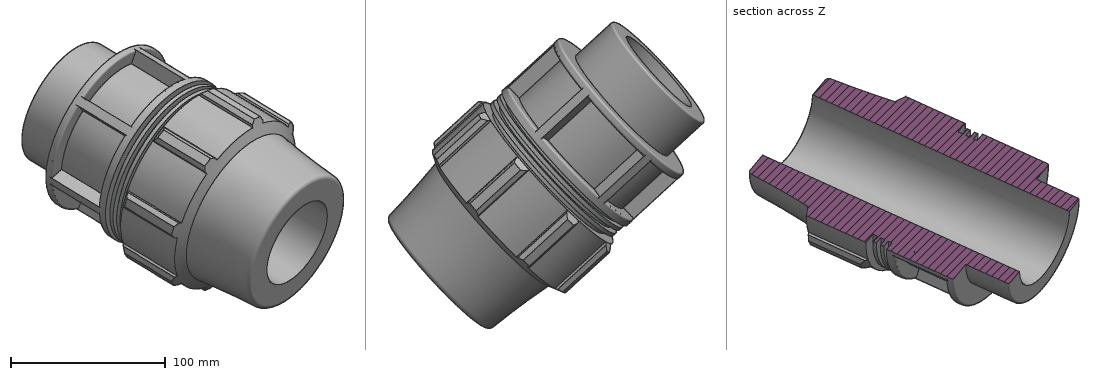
import cadquery as cq
import math

TOTAL_LENGTH = 195.0
SPIGOT_LENGTH = 32.8
COLLAR_LENGTH = 50.7
FLANGE_WIDTH = 5.6
GROOVE_START = SPIGOT_LENGTH + FLANGE_WIDTH
GROOVE_LENGTH = 39.1
RING_STARTS = (86.1, 91.8)
RING_WIDTH = 2.75
NUT_START = 97.8
NUT_LENGTH = 48.8
NUT_BEVEL_LENGTH = 3.6
NUT_END = NUT_START + NUT_LENGTH

BORE_RADIUS = 61.52 / 2
SPIGOT_RADIUS = 87.88 / 2
COLLAR_RADIUS = 118.8 / 2
GROOVE_FLOOR_RADIUS = 49.4
NECK_RADIUS = 105.6 / 2
RING_RADIUS = 116.42 / 2
NUT_RADIUS = 61.5
TAIL_ROOT_RADIUS = 54.0
TAIL_MIDDLE_RADIUS = 51.2
TAIL_TIP_RADIUS = 49.3

EDGE_ROUND = 1.5
TAIL_ROUND = 3.0

RIB_COUNT = 6
RIB_WIDTH = 6.4

LUG_COUNT = 8
LUG_TOP_RADIUS = 65.9
LUG_ROOT_WIDTH = 11.5
LUG_SHOULDER_RADIUS = 63.0
LUG_TOP_WIDTH = 6.4
LUG_NEAR_SLOPE = 3.8
LUG_EMBED_DEPTH = 4.0

DIAGONAL = math.sqrt(0.5)


def cylinder(start, length, radius):
    """Solid cylinder on the X axis."""
    return cq.Workplane("YZ").workplane(offset=start).circle(radius).extrude(length)


def rounded_spigot():
    spigot = cylinder(0, NUT_START, SPIGOT_RADIUS)
    return spigot.faces("<X").edges().fillet(EDGE_ROUND)


def flange(start, length, rounded_faces):
    """Disc whose rim is rounded on the chosen end faces."""
    return cylinder(start, length, COLLAR_RADIUS).faces(rounded_faces).edges().fillet(EDGE_ROUND)


def collar():
    """Two flanges around a wide groove that ribs split into windows."""
    groove_end = GROOVE_START + GROOVE_LENGTH
    collar_end = SPIGOT_LENGTH + COLLAR_LENGTH
    return (
        cylinder(SPIGOT_LENGTH, COLLAR_LENGTH, GROOVE_FLOOR_RADIUS)
        .union(flange(SPIGOT_LENGTH, FLANGE_WIDTH, "<X or >X"))
        .union(flange(groove_end, collar_end - groove_end, "<X"))
        .union(collar_ribs())
    )


def collar_ribs():
    """Full-diameter bars trimmed to the collar; each bar forms two opposite ribs."""
    start = GROOVE_START - EDGE_ROUND
    length = GROOVE_LENGTH + 2 * EDGE_ROUND
    middle = start + length / 2
    bar = cq.Workplane("XY").box(length, 2 * COLLAR_RADIUS, RIB_WIDTH).translate((middle, 0, 0))
    spokes = bar
    for index in range(1, RIB_COUNT // 2):
        spokes = spokes.union(bar.rotate((0, 0, 0), (1, 0, 0), index * 360 / RIB_COUNT))
    return spokes.intersect(cylinder(start, length, COLLAR_RADIUS))


def ringed_neck():
    collar_end = SPIGOT_LENGTH + COLLAR_LENGTH
    neck = cylinder(collar_end, NUT_START - collar_end, NECK_RADIUS)
    for start in RING_STARTS:
        neck = neck.union(cylinder(start, RING_WIDTH, RING_RADIUS))
    return neck


def revolved(half_profile):
    """Solid of revolution about X from an open profile that starts and ends on the axis."""
    return half_profile.close().revolve(360, (0, 0, 0), (1, 0, 0))


def tail():
    """Gently concave tail with a rounded tip."""
    round_start = TOTAL_LENGTH - TAIL_ROUND
    round_centre_radius = TAIL_TIP_RADIUS - TAIL_ROUND
    return revolved(
        cq.Workplane("XY")
        .moveTo(NUT_END, 0)
        .lineTo(NUT_END, TAIL_ROOT_RADIUS)
        .threePointArc(((NUT_END + round_start) / 2, TAIL_MIDDLE_RADIUS), (round_start, TAIL_TIP_RADIUS))
        .threePointArc(
            (round_start + TAIL_ROUND * DIAGONAL, round_centre_radius + TAIL_ROUND * DIAGONAL),
            (TOTAL_LENGTH, round_centre_radius),
        )
        .lineTo(TOTAL_LENGTH, 0)
    )


def bevel_cone():
    """Cone that bevels the far end of the nut drum and of its lugs in one sweep."""
    bevel_slope = (NUT_RADIUS - TAIL_ROOT_RADIUS) / NUT_BEVEL_LENGTH
    return revolved(
        cq.Workplane("XY")
        .moveTo(NUT_START, 0)
        .lineTo(NUT_START, TAIL_ROOT_RADIUS + NUT_LENGTH * bevel_slope)
        .lineTo(NUT_END, TAIL_ROOT_RADIUS)
        .lineTo(NUT_END, 0)
    )


def grip_lug():
    """Lug along +Z with short upright flanks, tapered shoulders and a sloping near end."""
    inner = NUT_RADIUS - LUG_EMBED_DEPTH
    section = (
        cq.Workplane("YZ")
        .workplane(offset=NUT_START)
        .polyline(
            [
                (-LUG_ROOT_WIDTH / 2, inner),
                (-LUG_ROOT_WIDTH / 2, LUG_SHOULDER_RADIUS),
                (-LUG_TOP_WIDTH / 2, LUG_TOP_RADIUS),
                (LUG_TOP_WIDTH / 2, LUG_TOP_RADIUS),
                (LUG_ROOT_WIDTH / 2, LUG_SHOULDER_RADIUS),
                (LUG_ROOT_WIDTH / 2, inner),
            ]
        )
        .close()
        .extrude(NUT_LENGTH)
    )
    side_outline = (
        cq.Workplane("XZ")
        .polyline(
            [
                (NUT_START, inner),
                (NUT_START, NUT_RADIUS),
                (NUT_START + LUG_NEAR_SLOPE, LUG_TOP_RADIUS),
                (NUT_END, LUG_TOP_RADIUS),
                (NUT_END, inner),
            ]
        )
        .close()
        .extrude(LUG_ROOT_WIDTH, both=True)
    )
    return section.intersect(side_outline)


def nut():
    """Drum with evenly spaced grip lugs, bevelled at the far end."""
    pitch = 360 / LUG_COUNT
    lug = grip_lug()
    drum = cylinder(NUT_START, NUT_LENGTH, NUT_RADIUS)
    for index in range(LUG_COUNT):
        drum = drum.union(lug.rotate((0, 0, 0), (1, 0, 0), (index + 0.5) * pitch))
    return drum.intersect(bevel_cone())


fitting = rounded_spigot().union(collar()).union(ringed_neck()).union(nut()).union(tail())
result = fitting.cut(cylinder(0, TOTAL_LENGTH, BORE_RADIUS))